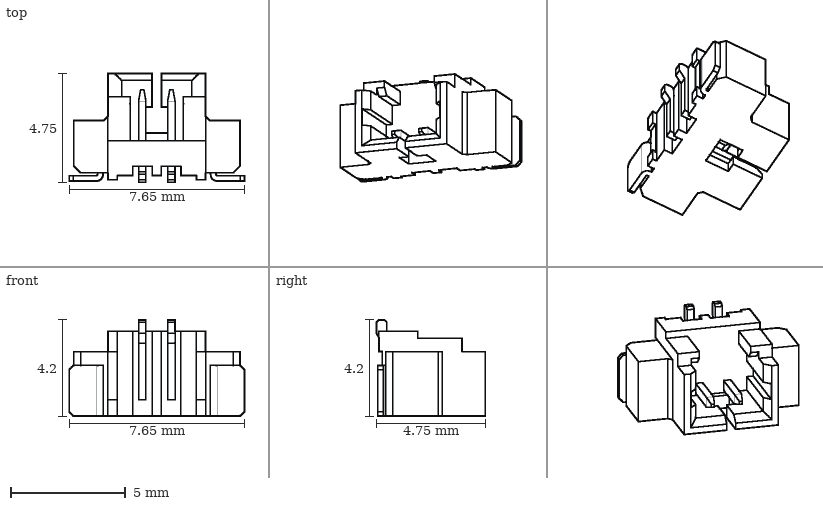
import cadquery as cq

BODY_HALF_WIDTH = 2.135
BODY_FRONT = 0.3
BODY_REAR = 4.75
FRONT_BLOCK_REAR = 1.81
FRONT_BLOCK_TOP = 3.7
ARM_REAR = 3.74
ARM_TOP = 3.405
REAR_TOP = 2.81

FLOOR_TOP = 0.6
CAVITY_HALF_WIDTH = 1.53
ARM_GAP_HALF_WIDTH = 1.16
MOUTH_CHAMFER = 0.305
KEYWAY_DEPTH = 0.28
KEYWAY_BOTTOM = 1.23
KEYWAY_TOP = 1.96

FLOOR_SLOT_HALF_WIDTH = 0.2
FLOOR_WINDOW_FRONT = 2.16
FLOOR_WINDOW_REAR = 3.28

CHANNEL_INNER = 0.2
CHANNEL_OUTER = 1.05
CHANNEL_BACK = 0.7
COLUMN_INNER = 1.72
COLUMN_FRONT = 0.25
LUG_FRONT = 0.11
LOWER_LUG_TOP = 0.7

WING_HALF_SPAN = 3.63
WING_FRONT = 0.41
WING_REAR = 2.71
WING_CORNER_CHAMFER = 0.305
WING_ROOT_CHAMFER = 0.175

TAB_HALF_SPAN = 3.825
TAB_FRONT = 0.05
TAB_THICKNESS = 0.245
TAB_HEIGHT = 2.21
TAB_ROOT_INNER = 2.34
TAB_BEND_RADIUS = 0.3
TAB_CORNER_CHAMFER = 0.18

PIN_OFFSET = 0.635
PIN_WIDTH = 0.32
PIN_DEPTH = 0.46
PIN_TOP = 4.2
PIN_TOP_CHAMFER = 0.11
PIN_JOG = 0.27
PIN_JOG_TOP = 3.6
PIN_JOG_BOTTOM = 3.17
PIN_BOTTOM = 0.7
BLADE_END = 3.55
BLADE_TIP = 4.05
BLADE_TIP_WIDTH = 0.14

SIDES = (-1, 1)


def box(x_min, x_max, y_min, y_max, z_min, z_max):
    """Box spanning the given limits; the two X limits may come in either order."""
    size = (abs(x_max - x_min), y_max - y_min, z_max - z_min)
    center = ((x_min + x_max) / 2, (y_min + y_max) / 2, (z_min + z_max) / 2)
    return cq.Workplane("XY").box(*size).translate(center)


def centered_box(half_width, y_min, y_max, z_min, z_max):
    return box(-half_width, half_width, y_min, y_max, z_min, z_max)


def extrude_side_profile(points, half_width):
    """Extrude a closed (Y, Z) outline symmetrically about X = 0."""
    return cq.Workplane("YZ").polyline(points).close().extrude(half_width, both=True)


def make_body():
    profile = [
        (BODY_FRONT, 0),
        (BODY_REAR, 0),
        (BODY_REAR, REAR_TOP),
        (ARM_REAR, REAR_TOP),
        (ARM_REAR, ARM_TOP),
        (FRONT_BLOCK_REAR, ARM_TOP),
        (FRONT_BLOCK_REAR, FRONT_BLOCK_TOP),
        (BODY_FRONT, FRONT_BLOCK_TOP),
    ]
    return extrude_side_profile(profile, BODY_HALF_WIDTH)


def make_cavity():
    cavity = centered_box(CAVITY_HALF_WIDTH, FRONT_BLOCK_REAR, BODY_REAR, FLOOR_TOP, REAR_TOP)
    arm_gap = centered_box(ARM_GAP_HALF_WIDTH, FRONT_BLOCK_REAR, ARM_REAR, REAR_TOP, ARM_TOP)
    return cavity.union(arm_gap)


def make_keyways():
    """Grooves along both cavity side walls, open to the rear."""
    half_width = CAVITY_HALF_WIDTH + KEYWAY_DEPTH
    return centered_box(half_width, FRONT_BLOCK_REAR, BODY_REAR, KEYWAY_BOTTOM, KEYWAY_TOP)


def make_mouth_chamfers():
    """Lead-in slopes at the rear edges of the floor, the side walls and the arm undersides."""
    mouth_front = BODY_REAR - MOUTH_CHAMFER
    mouth_half_width = CAVITY_HALF_WIDTH + MOUTH_CHAMFER
    plan = (
        cq.Workplane("XY")
        .polyline(
            [
                (-CAVITY_HALF_WIDTH, mouth_front),
                (CAVITY_HALF_WIDTH, mouth_front),
                (mouth_half_width, BODY_REAR),
                (-mouth_half_width, BODY_REAR),
            ]
        )
        .close()
        .extrude(REAR_TOP)
    )
    section = [
        (mouth_front, FLOOR_TOP),
        (BODY_REAR, FLOOR_TOP - MOUTH_CHAMFER),
        (BODY_REAR, REAR_TOP),
        (mouth_front, REAR_TOP),
    ]
    rear_mouth = plan.intersect(extrude_side_profile(section, mouth_half_width))
    arm_slope = [
        (ARM_REAR - MOUTH_CHAMFER, REAR_TOP),
        (ARM_REAR, REAR_TOP),
        (ARM_REAR, REAR_TOP + MOUTH_CHAMFER),
    ]
    return rear_mouth.union(extrude_side_profile(arm_slope, CAVITY_HALF_WIDTH))


def make_floor_opening():
    slot = centered_box(FLOOR_SLOT_HALF_WIDTH, FLOOR_WINDOW_REAR, BODY_REAR, 0, FLOOR_TOP)
    window = centered_box(PIN_OFFSET, FLOOR_WINDOW_FRONT, FLOOR_WINDOW_REAR, 0, FLOOR_TOP)
    return slot.union(window)


def make_channel(side):
    return box(side * CHANNEL_INNER, side * CHANNEL_OUTER, BODY_FRONT, CHANNEL_BACK, 0, FRONT_BLOCK_TOP)


def make_front_corner(side):
    """Shallow column with a lug at its foot and another at its head."""
    inner = side * COLUMN_INNER
    outer = side * BODY_HALF_WIDTH
    column = box(inner, outer, COLUMN_FRONT, BODY_FRONT, 0, FRONT_BLOCK_TOP)
    lower_lug = box(inner, outer, LUG_FRONT, BODY_FRONT, 0, LOWER_LUG_TOP)
    upper_lug = box(inner, outer, LUG_FRONT, BODY_FRONT, REAR_TOP, FRONT_BLOCK_TOP)
    return column.union(lower_lug).union(upper_lug)


def make_wing(side):
    outline = [
        (BODY_HALF_WIDTH, WING_FRONT),
        (WING_HALF_SPAN - WING_CORNER_CHAMFER, WING_FRONT),
        (WING_HALF_SPAN, WING_FRONT + WING_CORNER_CHAMFER),
        (WING_HALF_SPAN, WING_REAR),
        (BODY_HALF_WIDTH + WING_ROOT_CHAMFER, WING_REAR),
        (BODY_HALF_WIDTH, WING_REAR + WING_ROOT_CHAMFER),
    ]
    points = [(side * x, y) for x, y in outline]
    return cq.Workplane("XY").polyline(points).close().extrude(REAR_TOP)


def make_tab(side):
    """L-shaped strip that leaves the wing forwards and bends outwards."""
    root_outer = TAB_ROOT_INNER + TAB_THICKNESS
    tab_back = TAB_FRONT + TAB_THICKNESS
    outer_edge = "<X" if side < 0 else ">X"
    foot = box(side * TAB_ROOT_INNER, side * TAB_HALF_SPAN, TAB_FRONT, tab_back, 0, TAB_HEIGHT)
    foot = foot.faces(outer_edge).edges("|Y").chamfer(TAB_CORNER_CHAMFER)
    root = box(side * TAB_ROOT_INNER, side * root_outer, TAB_FRONT, WING_FRONT, 0, TAB_HEIGHT)
    tab = foot.union(root)

    def bend_edge(x, y):
        return cq.selectors.NearestToPointSelector((side * x, y, TAB_HEIGHT / 2))

    tab = tab.edges("|Z").edges(bend_edge(TAB_ROOT_INNER, TAB_FRONT)).fillet(TAB_BEND_RADIUS)
    return tab.edges("|Z").edges(bend_edge(root_outer, tab_back)).fillet(TAB_BEND_RADIUS - TAB_THICKNESS)


def make_pin(side):
    """Jogged upright in the channel plus a blade reaching into the cavity."""
    leg_back = PIN_DEPTH + PIN_JOG
    upright_profile = [
        (PIN_JOG, PIN_BOTTOM),
        (leg_back, PIN_BOTTOM),
        (leg_back, PIN_JOG_BOTTOM),
        (PIN_DEPTH, PIN_JOG_TOP),
        (PIN_DEPTH, PIN_TOP - PIN_TOP_CHAMFER),
        (PIN_DEPTH - PIN_TOP_CHAMFER, PIN_TOP),
        (PIN_TOP_CHAMFER, PIN_TOP),
        (0, PIN_TOP - PIN_TOP_CHAMFER),
        (0, PIN_JOG_TOP),
        (PIN_JOG, PIN_JOG_BOTTOM),
    ]
    upright = extrude_side_profile(upright_profile, PIN_WIDTH / 2)
    blade = centered_box(PIN_WIDTH / 2, CHANNEL_BACK, BLADE_END, PIN_BOTTOM, PIN_BOTTOM + PIN_DEPTH)
    tip = (
        cq.Workplane("XZ", origin=(0, BLADE_END, PIN_BOTTOM + PIN_DEPTH / 2))
        .rect(PIN_WIDTH, PIN_DEPTH)
        .workplane(offset=BLADE_END - BLADE_TIP)
        .rect(BLADE_TIP_WIDTH, BLADE_TIP_WIDTH)
        .loft()
    )
    return upright.union(blade).union(tip).translate((side * PIN_OFFSET, 0, 0))


result = make_body()
for cutter in (make_cavity(), make_keyways(), make_mouth_chamfers(), make_floor_opening()):
    result = result.cut(cutter)
for side in SIDES:
    result = result.cut(make_channel(side))
for side in SIDES:
    for make_feature in (make_front_corner, make_wing, make_tab, make_pin):
        result = result.union(make_feature(side))